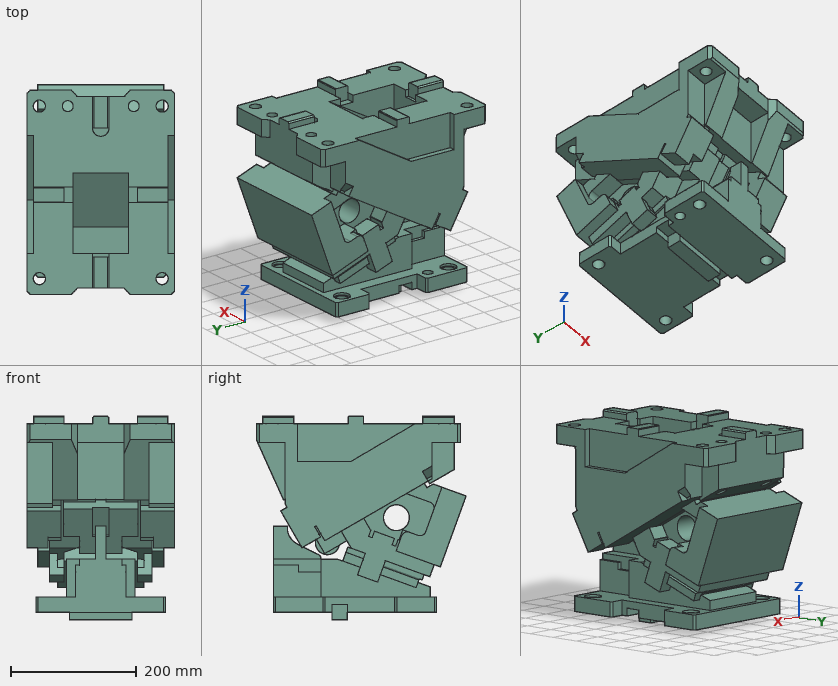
import cadquery as cq
import math



HOLDER_TILT = math.radians(30)
BASE_TILT = math.radians(20)
HOLDER_EDGE = (109.0, 114.0)
BASE_EDGE = (129.0, 84.8)
FAR = 667.8

HOLDER_HALF = 117.5
PLATE_LENGTH = 325.0
PLATE_TOP = 299.8
PLATE_THICK = 30.0
PLATE_BOTTOM = PLATE_TOP - PLATE_THICK
PLATE_CHAMFER = 5.5
NOTCH_INNER = 37.0
NOTCH_OUTER = 46.7
NOTCH_DEPTH = 10.0
BLOCK_FRONT = 45.7
BLOCK_REAR = 279.5
NOSE_TOP_Z = 274.5
RIB_OUTER = 76.8
REAR_RIB_END = PLATE_LENGTH - NOTCH_DEPTH
REAR_RIB_DROP = 5.0
REAR_CUT_U = 189.5
REAR_CUT_V = 17.7
REAR_CUT_LEG = 13.7
PRONG_FRONT = -37.0
PRONG_STEP = -25.7
PRONG_BOTTOM = 8.5
PRONG_TOP = 76.0
PRONG_INNER_BOTTOM = 27.5
PRONG_INNER = 83.8
SLIT = 2.7
CHANNEL_HALF = 63.0
CHANNEL_TOP = 88.5
MOUTH_END = -20.0

POCKET_FRONT = 65.5
SIDE_POCKET_X = 107.0
SIDE_POCKET_FLAT_END = 150.2
SIDE_POCKET_REAR = 252.5
SIDE_POCKET_DEPTH = 60.0
WINDOW_HALF = 44.5
WINDOW_FLAT_END = 107.5
WINDOW_REAR = 193.3
WINDOW_DEPTH = (WINDOW_REAR - WINDOW_FLAT_END) * math.tan(HOLDER_TILT)

KEY_HEIGHT = 12.0
LONG_KEY_WIDTH = 26.0
LONG_KEY_CHAMFER = 2.5
CROSS_KEY_WIDTH = 24.7
CROSS_KEY_CHAMFER = 1.5
CROSS_KEY_Y = 158.3
CROSS_KEY_INNER = 58.0
FRONT_KEY_END = 59.8
REAR_KEY_START = 264.5

HOLDER_HOLE_X = 97.5
HOLDER_HOLE_D = 19.0
HOLDER_HOLE_FRONT_Y = 25.5
HOLDER_HOLE_REAR_Y = 299.5
DOWEL_X = 52.5
DOWEL_D = 17.5

SLIDE_HALF = 81.5
HEAD_HALF = 100.0
HEAD_REAR = 158.3
HEAD_TOP = 164.3
HEAD_BOTTOM = 44.0
HEAD_FRONT = 117.2
HEAD_FOOT_FRONT = 83.5
HEAD_FOOT_TOP = 79.0
HEAD_FILLET = 9.7
SLIDE_REAR = 148.0
SLIDE_BOTTOM = 23.7
SLIDE_FRONT_U = 30.5
REBATE_U = 183.0
REBATE_DEPTH = 8.0
SIDE_RECESS_FLOOR = 50.0
SIDE_RECESS_TOP = 135.2
SIDE_RECESS_BOTTOM = 61.8
SIDE_RECESS_STEP = 81.8
SIDE_RECESS_FRONT_U = 71.5
RELIEF_WIDTH = 6.0
RELIEF_BOTTOM = 50.7
RELIEF_PLACES = (37.5, 77.0)
BORE_S = 65.8
BORE_H = 93.8
BORE_D = 40.7
LEG_FRONT = 38.7
LEG_REAR = 72.8
LEG_BOTTOM = -12.7
LEG_WALL = 69.0
LEG_FOOT_INNER = 58.0
TONGUE_HALF = 59.0
TONGUE_FRONT = -10.5
TONGUE_END = 150.2
TONGUE_STEP_U = 11.7
TONGUE_STEP_V = 64.5
TONGUE_BOTTOM = 13.5
HOOK_HALF = 33.5
HOOK_BOTTOM = -17.7
GROOVE_HALF = 13.0
GROOVE_FLOOR = -5.7
TOP_NOTCH_HALF = 8.7
TOP_NOTCH_END = 17.7
ROLL_Y = 113.2
ROLL_Z = 111.0
ROLL_RADIUS = 19.5
ROLL_HALF = 8.7

FOOT_HALF = 103.2
FOOT_FRONT = 27.5
FOOT_REAR = 286.8
FOOT_THICK = 24.7
FOOT_CHAMFER = 3.5
WAIST_HALF = 78.0
WAIST_FRONT = 109.5
WAIST_REAR = 220.0
BODY_HALF = 54.8
BODY_FRONT = 103.0
BODY_REAR = 276.8
BODY_RISE = 9.0
STEM_HALF = 40.0
STEM_HALF_TOP = 33.5
STEM_REAR_Z = 63.8
STEM_FRONT_Z = 75.0
STEM_STEP_Y = 66.8
POST_HALF = 8.7
POST_TOP = 137.2
POST_REAR = 49.7
POST_HOLLOW = ((49.7, 130.0), (55.0, 117.5), (65.8, 108.5))
POST_TOE = ((96.5, 93.0), (101.0, 90.0), (103.0, 86.8))
RAIL_FRONT = 9.0
RAIL_REAR = 133.2
RIDGE_REAR = 138.2
RIDGE_HALF = 33.5
RAIL_HALF = 68.5
RAIL_NARROW_HALF = 58.5
RAIL_EDGE_H = 13.0
RAIL_NARROW_H = 14.7
BASE_KEY_HALF = 49.7
BASE_KEY_Y = 132.5
BASE_KEY_WIDTH = 24.7
BASE_SLOT_DEPTH = 12.7
BASE_HOLE_X = 82.8
BASE_HOLE_FRONT_Y = 51.5
BASE_HOLE_REAR_Y = 261.5
BASE_HOLE_D = 20.0
BASE_BORE_D = 26.7
BASE_BORE_DEPTH = 4.0
BASE_DOWEL_Y = 91.8
BASE_DOWEL_D = 16.7


def uv(along, up):
    """(y, z) of a point measured along and square to the holder's sliding surface."""
    y0, z0 = HOLDER_EDGE
    cos, sin = math.cos(HOLDER_TILT), math.sin(HOLDER_TILT)
    return y0 + along * cos - up * sin, z0 + along * sin + up * cos


def sh(along, up):
    """(y, z) of a point measured down and square to the sloping top of the base."""
    y0, z0 = BASE_EDGE
    cos, sin = math.cos(BASE_TILT), math.sin(BASE_TILT)
    return y0 + along * cos + up * sin, z0 - along * sin + up * cos


def rectangle(frame, along_1, along_2, up_1, up_2):
    """Corners of a rectangle that is square to a tilted frame."""
    return [frame(along_1, up_1), frame(along_2, up_1), frame(along_2, up_2), frame(along_1, up_2)]


def middle(points, half):
    """Prism of a side outline, from X = -half to X = half."""
    return cq.Workplane("YZ").polyline(points).close().extrude(half, both=True)


def sides(points, inner, outer):
    """The same prism on both sides, between two distances from the middle."""
    return middle(points, outer).cut(middle(points, inner))


def box(x1, x2, y1, y2, z1, z2):
    return cq.Workplane("XY").box(x2 - x1, y2 - y1, z2 - z1, centered=False).translate((x1, y1, z1))


def cross_section(frame, along):
    """Workplane across a tilted frame: its second axis points up in the frame."""
    y0, z0 = frame(along, 0)
    y1, z1 = frame(along + 3.5, 0)
    return cq.Workplane(cq.Plane((0, y0, z0), (-1, 0, 0), (0, y1 - y0, z1 - z0)))


def slope_z(start, y, slope):
    """Height at y of a line that leaves a (y, z) point with a given slope."""
    return start[1] + (y - start[0]) * slope


def drill(places, diameter, top, depth):
    return (
        cq.Workplane("XY").workplane(offset=top).pushPoints(places)
        .circle(diameter / 2).extrude(-depth)
    )


def nose_y(z):
    """Y of the sloping front, which runs from the plate down to the prongs, at height z."""
    foot_y, foot_z = uv(PRONG_STEP, PRONG_TOP)
    return foot_y * (NOSE_TOP_Z - z) / (NOSE_TOP_Z - foot_z)


def holder_plate():
    profile = [
        (0, PLATE_TOP), (0, NOSE_TOP_Z), (nose_y(PLATE_BOTTOM), PLATE_BOTTOM),
        (PLATE_LENGTH, PLATE_BOTTOM), (PLATE_LENGTH, PLATE_TOP),
    ]
    return middle(profile, HOLDER_HALF).edges("|Z").chamfer(PLATE_CHAMFER)


def end_notches():
    """Notches with sloping sides in both ends, through the plate and the ribs below the front one."""
    outline = [
        (-NOTCH_OUTER, 0), (NOTCH_OUTER, 0), (NOTCH_INNER, NOTCH_DEPTH), (-NOTCH_INNER, NOTCH_DEPTH),
    ]
    front = cq.Workplane("XY").polyline(outline).close().extrude(FAR)
    return front, front.mirror("XZ").translate((0, PLATE_LENGTH, 0))


def holder_block():
    bottom_rear_z = slope_z(HOLDER_EDGE, BLOCK_REAR, math.tan(HOLDER_TILT))
    nose_slope = (PLATE_BOTTOM - NOSE_TOP_Z) / nose_y(PLATE_BOTTOM)
    slope_start = slope_z((0, NOSE_TOP_Z), BLOCK_FRONT, nose_slope)
    profile = [
        HOLDER_EDGE, (BLOCK_REAR, bottom_rear_z), (BLOCK_REAR, PLATE_BOTTOM),
        (BLOCK_FRONT, PLATE_BOTTOM), (BLOCK_FRONT, slope_start),
        uv(PRONG_STEP, PRONG_TOP), uv(PRONG_FRONT, PRONG_TOP), uv(PRONG_FRONT, PRONG_BOTTOM),
        uv(-SLIT, PRONG_BOTTOM), uv(-SLIT, PRONG_INNER_BOTTOM), uv(0, PRONG_INNER_BOTTOM),
    ]
    prong_cut = rectangle(uv, PRONG_FRONT, -SLIT, 0, PRONG_INNER_BOTTOM)
    return middle(profile, HOLDER_HALF).cut(middle(prong_cut, PRONG_INNER))


def rear_cuts():
    """Cuts with a bevelled top in the lower rear corners of the block."""
    outline = [
        (HOLDER_HALF, -FAR), (HOLDER_HALF, REAR_CUT_V),
        (HOLDER_HALF - REAR_CUT_LEG, REAR_CUT_V - REAR_CUT_LEG), (HOLDER_HALF - REAR_CUT_LEG, -FAR),
    ]
    cut = cross_section(uv, REAR_CUT_U).polyline(outline).close().extrude(FAR)
    return cut, cut.mirror("YZ")


def front_ribs():
    profile = [
        (nose_y(PLATE_BOTTOM), PLATE_BOTTOM), uv(PRONG_STEP, PRONG_TOP),
        uv(0, PRONG_TOP), (HOLDER_EDGE[0], PLATE_BOTTOM),
    ]
    return sides(profile, NOTCH_INNER, RIB_OUTER)


def rear_rib():
    end_z = slope_z(uv(0, -REAR_RIB_DROP), REAR_RIB_END, math.tan(HOLDER_TILT))
    profile = [
        uv(REAR_CUT_U, -REAR_RIB_DROP), (REAR_RIB_END, end_z),
        (REAR_RIB_END, PLATE_BOTTOM), (BLOCK_REAR, PLATE_BOTTOM), uv(REAR_CUT_U, REAR_CUT_V),
    ]
    return middle(profile, RIB_OUTER)


def ramp_pocket(flat_end, rear, depth):
    """Side outline of a pocket with a flat floor and a ramp up to its rear end."""
    floor = PLATE_TOP - depth
    return [
        (POCKET_FRONT, PLATE_TOP), (POCKET_FRONT, floor), (flat_end, floor), (rear, PLATE_TOP),
    ]


def key_slots():
    floor = PLATE_TOP - KEY_HEIGHT
    half_long = LONG_KEY_WIDTH / 2
    half_cross = CROSS_KEY_WIDTH / 2
    top = PLATE_TOP
    front = box(-half_long, half_long, 0, POCKET_FRONT, floor, top)
    rear = box(-half_long, half_long, REAR_KEY_START, PLATE_LENGTH, floor, top)
    rear_end = drill([(0, REAR_KEY_START)], LONG_KEY_WIDTH, top, KEY_HEIGHT)
    across = box(
        -SIDE_POCKET_X, SIDE_POCKET_X, CROSS_KEY_Y - half_cross, CROSS_KEY_Y + half_cross, floor, top
    )
    return front.union(rear).union(rear_end).union(across)


def keys():
    bottom = PLATE_TOP - KEY_HEIGHT
    top = PLATE_TOP + KEY_HEIGHT
    half_long = LONG_KEY_WIDTH / 2
    half_cross = CROSS_KEY_WIDTH / 2
    spans = ((NOTCH_DEPTH, FRONT_KEY_END), (REAR_KEY_START, PLATE_LENGTH - NOTCH_DEPTH))
    parts = []
    for start, end in spans:
        key = box(-half_long, half_long, start, end, bottom, top)
        parts.append(key.faces(">Z").edges("|Y").chamfer(LONG_KEY_CHAMFER))
    for left in (-SIDE_POCKET_X, CROSS_KEY_INNER):
        right = left + SIDE_POCKET_X - CROSS_KEY_INNER
        key = box(left, right, CROSS_KEY_Y - half_cross, CROSS_KEY_Y + half_cross, bottom, top)
        parts.append(key.faces(">Z").edges("|X").chamfer(CROSS_KEY_CHAMFER))
    return parts


def holder_holes():
    corners = [
        (x, y) for x in (-HOLDER_HOLE_X, HOLDER_HOLE_X)
        for y in (HOLDER_HOLE_FRONT_Y, HOLDER_HOLE_REAR_Y)
    ]
    dowels = [(-DOWEL_X, HOLDER_HOLE_REAR_Y), (DOWEL_X, HOLDER_HOLE_REAR_Y)]
    screws = drill(corners, HOLDER_HOLE_D, PLATE_TOP, PLATE_THICK)
    return screws.union(drill(dowels, DOWEL_D, PLATE_TOP, PLATE_TOP))


def make_holder():
    holder = holder_plate().union(holder_block()).union(front_ribs()).union(rear_rib())
    channel = rectangle(uv, -FAR, REAR_CUT_U, -FAR, CHANNEL_TOP)
    mouth = rectangle(uv, -FAR, MOUTH_END, PRONG_TOP, CHANNEL_TOP)
    holder = holder.cut(middle(channel, CHANNEL_HALF)).cut(middle(mouth, RIB_OUTER))
    for cutter in (*end_notches(), *rear_cuts()):
        holder = holder.cut(cutter)
    side_pocket = ramp_pocket(SIDE_POCKET_FLAT_END, SIDE_POCKET_REAR, SIDE_POCKET_DEPTH)
    window = ramp_pocket(WINDOW_FLAT_END, WINDOW_REAR, WINDOW_DEPTH)
    holder = holder.cut(sides(side_pocket, SIDE_POCKET_X, HOLDER_HALF))
    holder = holder.cut(key_slots())
    holder = holder.cut(middle(window, WINDOW_HALF))
    for key in keys():
        holder = holder.union(key)
    return holder.cut(holder_holes())


def slide_core():
    """Middle part between the base rail and the sliding surface, with a rebate at its rear top."""
    core = middle(rectangle(sh, -FAR, SLIDE_REAR, SLIDE_BOTTOM, HEAD_TOP), SLIDE_HALF)
    head = middle(rectangle(sh, HEAD_FRONT, HEAD_REAR, HEAD_BOTTOM, HEAD_TOP), SLIDE_HALF)
    core = core.union(head)
    core = core.cut(middle(rectangle(uv, -FAR, FAR, 0, FAR), FAR))
    core = core.cut(middle(rectangle(uv, REBATE_U, FAR, -REBATE_DEPTH, FAR), FAR))
    return core.cut(middle(rectangle(uv, -FAR, SLIDE_FRONT_U, -FAR, FAR), FAR))


def slide_cheeks():
    """L-shaped cheeks that widen the head on both sides."""
    outline = [
        sh(HEAD_REAR, HEAD_TOP), sh(HEAD_REAR, HEAD_BOTTOM), sh(HEAD_FOOT_FRONT, HEAD_BOTTOM),
        sh(HEAD_FOOT_FRONT, HEAD_FOOT_TOP), sh(HEAD_FRONT, HEAD_FOOT_TOP), sh(HEAD_FRONT, HEAD_TOP),
    ]
    cheek = middle(outline, HEAD_HALF)
    for corner in (sh(HEAD_FOOT_FRONT, HEAD_FOOT_TOP), sh(HEAD_FRONT, HEAD_FOOT_TOP)):
        cheek = cheek.edges(cq.NearestToPointSelector((0, *corner))).fillet(HEAD_FILLET)
    return cheek.cut(middle(rectangle(sh, -FAR, FAR, -FAR, FAR), SLIDE_HALF))


def side_recesses():
    """Recesses beside the bore, with a rounded rear and relief slots in the bottom corners."""
    rear = middle(
        rectangle(sh, -FAR, HEAD_FRONT, HEAD_FOOT_TOP, SIDE_RECESS_TOP), HEAD_HALF
    )
    for height in (HEAD_FOOT_TOP, SIDE_RECESS_TOP):
        corner = (0, *sh(HEAD_FRONT, height))
        rear = rear.edges(cq.NearestToPointSelector(corner)).fillet(HEAD_FILLET)
    recess = rear.union(
        middle(rectangle(sh, -FAR, SIDE_RECESS_STEP, SIDE_RECESS_BOTTOM, SIDE_RECESS_TOP), HEAD_HALF)
    )
    recess = recess.cut(middle(rectangle(uv, -FAR, SIDE_RECESS_FRONT_U, -FAR, FAR), FAR))
    for place in RELIEF_PLACES:
        slot = rectangle(
            sh, place - RELIEF_WIDTH / 2, place + RELIEF_WIDTH / 2, RELIEF_BOTTOM, HEAD_FOOT_TOP
        )
        recess = recess.union(middle(slot, HEAD_HALF))
    return recess.cut(middle(rectangle(sh, -FAR, FAR, -FAR, FAR), SIDE_RECESS_FLOOR))


def slide_legs():
    """Legs that reach down beside the base rail, with feet that hook under it."""
    wall = rectangle(sh, LEG_FRONT, LEG_REAR, LEG_BOTTOM, SLIDE_BOTTOM)
    foot = rectangle(sh, LEG_FRONT, LEG_REAR, LEG_BOTTOM, 0)
    return sides(wall, LEG_WALL, SLIDE_HALF), sides(foot, LEG_FOOT_INNER, SLIDE_HALF)


def slide_tongue():
    """Tongue that fills the holder channel, with a narrower nose, a hook and a roll at its front."""
    behind = middle(rectangle(uv, SLIDE_FRONT_U, TONGUE_END, 0, CHANNEL_TOP), CHANNEL_HALF)
    raised = middle(
        rectangle(uv, TONGUE_STEP_U, SLIDE_FRONT_U, TONGUE_BOTTOM, CHANNEL_TOP), TONGUE_HALF
    )
    front = middle(
        rectangle(uv, TONGUE_FRONT, SLIDE_FRONT_U, TONGUE_BOTTOM, TONGUE_STEP_V), TONGUE_HALF
    )
    hook = middle(rectangle(uv, TONGUE_FRONT, SLIDE_FRONT_U, HOOK_BOTTOM, TONGUE_BOTTOM), HOOK_HALF)
    groove = middle(rectangle(uv, TONGUE_FRONT, GROOVE_FLOOR, TONGUE_BOTTOM, TONGUE_STEP_V), GROOVE_HALF)
    top_notch = middle(
        rectangle(uv, TONGUE_STEP_U, TOP_NOTCH_END, TONGUE_STEP_V, CHANNEL_TOP), TOP_NOTCH_HALF
    )
    roll = (
        cq.Workplane("YZ").center(ROLL_Y, ROLL_Z).circle(ROLL_RADIUS).extrude(ROLL_HALF, both=True)
    )
    tongue = behind.union(raised).union(front).union(hook)
    return tongue.cut(groove).cut(top_notch).union(roll)


def make_slide():
    slide = slide_core().union(slide_cheeks()).cut(side_recesses())
    for leg_part in slide_legs():
        slide = slide.union(leg_part)
    bore = (
        cq.Workplane("YZ").center(*sh(BORE_S, BORE_H)).circle(BORE_D / 2).extrude(SLIDE_HALF, both=True)
    )
    return slide.union(slide_tongue()).cut(bore)


def base_foot():
    foot = box(-FOOT_HALF, FOOT_HALF, FOOT_FRONT, FOOT_REAR, 0, FOOT_THICK)
    for left in (-FOOT_HALF, WAIST_HALF):
        right = left + FOOT_HALF - WAIST_HALF
        foot = foot.cut(box(left, right, WAIST_FRONT, WAIST_REAR, 0, FOOT_THICK))
    waist_corners = cq.selectors.BoxSelector(
        (-WAIST_HALF - FOOT_CHAMFER, 0, 0), (WAIST_HALF + FOOT_CHAMFER, FAR, FOOT_THICK)
    )
    return foot.edges("|Z").edges(cq.selectors.InverseSelector(waist_corners)).chamfer(FOOT_CHAMFER)


def base_body():
    rear_z = slope_z(sh(0, BODY_RISE), BODY_REAR, -math.tan(BASE_TILT))
    profile = [
        (BODY_FRONT, 0), (BODY_FRONT, BASE_EDGE[1]), BASE_EDGE, sh(RAIL_FRONT, 0),
        sh(RAIL_FRONT, BODY_RISE), (BODY_REAR, rear_z), (BODY_REAR, 0),
    ]
    return middle(profile, BODY_HALF)


def base_stem():
    """Stepped stem in front of the body."""
    outer = [
        (FOOT_FRONT, 0), (FOOT_FRONT, STEM_FRONT_Z), (STEM_STEP_Y, STEM_FRONT_Z),
        (STEM_STEP_Y, STEM_REAR_Z), (BODY_FRONT, STEM_REAR_Z), (BODY_FRONT, 0),
    ]
    inner = [
        (FOOT_FRONT, 0), (FOOT_FRONT, BASE_EDGE[1]), (BODY_FRONT, BASE_EDGE[1]), (BODY_FRONT, 0),
    ]
    return middle(outer, STEM_HALF).union(middle(inner, STEM_HALF_TOP))


def base_post():
    """Thin post with a hollow rear flank that runs out into a ramp."""
    return (
        cq.Workplane("YZ").moveTo(FOOT_FRONT, BASE_EDGE[1]).lineTo(FOOT_FRONT, POST_TOP)
        .lineTo(POST_REAR, POST_TOP).lineTo(*POST_HOLLOW[0]).threePointArc(*POST_HOLLOW[1:])
        .lineTo(*POST_TOE[0]).threePointArc(*POST_TOE[1:])
        .lineTo(BODY_FRONT, BASE_EDGE[1]).close().extrude(POST_HALF, both=True)
    )


def base_rail():
    """Roof-shaped rail along the slope; its wide rear part overhangs the body."""
    right_roof = [
        (RIDGE_HALF, SLIDE_BOTTOM), (RAIL_NARROW_HALF, RAIL_NARROW_H),
        (RAIL_HALF, RAIL_EDGE_H), (RAIL_HALF, 0),
    ]
    roof = right_roof + [(-x, height) for x, height in reversed(right_roof)]
    rail = cross_section(sh, RAIL_FRONT).polyline(roof).close().extrude(RIDGE_REAR - RAIL_FRONT)
    front_trim = rectangle(sh, -FAR, LEG_FRONT, -FAR, FAR)
    rear_trim = rectangle(sh, RAIL_REAR, FAR, -FAR, RAIL_NARROW_H)
    rail = rail.cut(sides(front_trim, RAIL_NARROW_HALF, FAR))
    return rail.cut(middle(rear_trim, FAR))


def base_holes():
    corners = [
        (x, y) for x in (-BASE_HOLE_X, BASE_HOLE_X) for y in (BASE_HOLE_FRONT_Y, BASE_HOLE_REAR_Y)
    ]
    screws = drill(corners, BASE_HOLE_D, FOOT_THICK, FOOT_THICK)
    bores = drill(corners, BASE_BORE_D, FOOT_THICK, BASE_BORE_DEPTH)
    dowel = drill([(-BASE_HOLE_X, BASE_DOWEL_Y)], BASE_DOWEL_D, FOOT_THICK, FOOT_THICK)
    return screws.union(bores).union(dowel)


def make_base():
    base = base_foot().union(base_body()).union(base_stem()).union(base_post()).union(base_rail())
    key_front = BASE_KEY_Y - BASE_KEY_WIDTH / 2
    key_rear = key_front + BASE_KEY_WIDTH
    base = base.cut(box(-FOOT_HALF, FOOT_HALF, key_front, key_rear, 0, BASE_SLOT_DEPTH))
    key = box(-BASE_KEY_HALF, BASE_KEY_HALF, key_front, key_rear, -KEY_HEIGHT, BASE_SLOT_DEPTH)
    return base.union(key).cut(base_holes())


holder = make_holder()
slide = make_slide()
base = make_base()
result = cq.Compound.makeCompound([holder.solids().val(), slide.solids().val(), base.solids().val()])